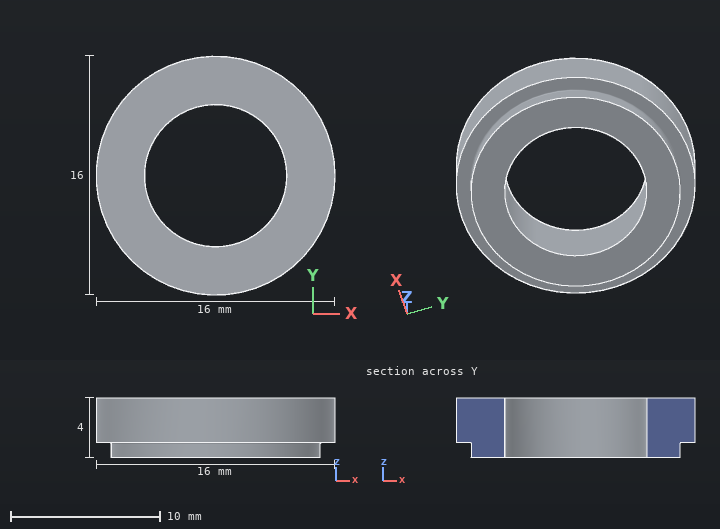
import cadquery as cq

flange_diameter = 16.0
spigot_diameter = 14.0
bore_diameter = 9.5
total_height = 4.0
spigot_height = total_height / 4
corner_radius = 0.1

flange_radius = flange_diameter / 2
spigot_radius = spigot_diameter / 2
bore_radius = bore_diameter / 2

half_section = (
    cq.Workplane("XZ")
    .moveTo(bore_radius, 0)
    .lineTo(spigot_radius, 0)
    .lineTo(spigot_radius, spigot_height - corner_radius)
    .radiusArc((spigot_radius + corner_radius, spigot_height), corner_radius)
    .lineTo(flange_radius, spigot_height)
    .lineTo(flange_radius, total_height)
    .lineTo(bore_radius, total_height)
    .close()
)

result = half_section.revolve(360, (0, 0, 0), (0, 1, 0))